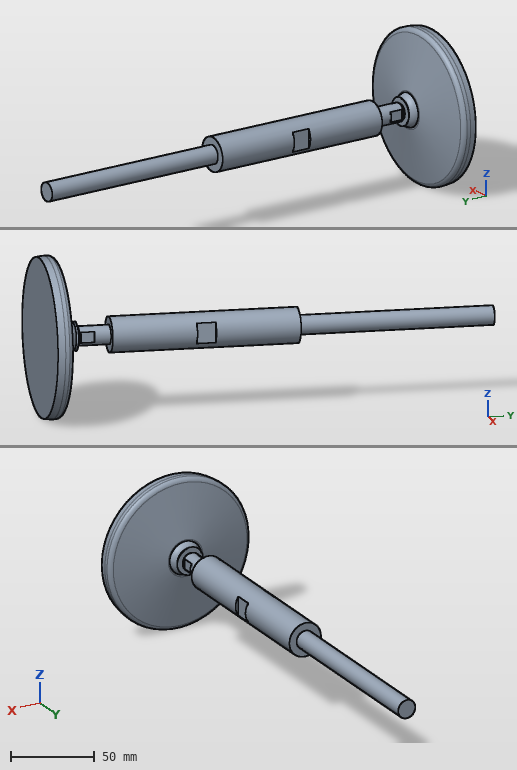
import cadquery as cq

TOTAL_LENGTH = 277.0

FOOT_DIAMETER = 98.0
UNDERSIDE_DIAMETER = 97.0
RIM_BOTTOM = 4.5
RIM_TOP = 7.0
SHOULDER_DIAMETER = 92.5
SHOULDER_HEIGHT = 9.7
LEDGE_DIAMETER = 23.8
NECK_BASE_DIAMETER = 21.5
NECK_BASE_HEIGHT = 16.0
NECK_TOP_DIAMETER = 15.5
NECK_TOP_HEIGHT = 20.5
NECK_BULGE_DIAMETER = 19.7
NECK_BULGE_HEIGHT = 18.5
LIP_DIAMETER = 18.0
LIP_HEIGHT = 21.5

SPINDLE_DIAMETER = 12.0
SPINDLE_TIP_DIAMETER = 10.0
SPINDLE_TAPER_TOP = 23.0
SPINDLE_FLAT_WIDTH = 10.0
SPINDLE_FLAT_BOTTOM = 23.8
SPINDLE_FLAT_TOP = 32.0

SLEEVE_DIAMETER = 22.0
SLEEVE_BOTTOM = 42.0
SLEEVE_TOP = 157.3
SLEEVE_FLAT_WIDTH = 18.0
SLEEVE_FLAT_BOTTOM = 94.0
SLEEVE_FLAT_TOP = 105.5


def rod(diameter, bottom, top):
    """Solid cylinder along Y between two heights."""
    return cq.Workplane("XZ", origin=(0, bottom, 0)).circle(diameter / 2).extrude(bottom - top)


def cut_wrench_flats(body, diameter, across_flats, bottom, top):
    """Cut two parallel flats facing -X and +X."""
    cut_depth = (diameter - across_flats) / 2
    for side in (-1, 1):
        cutter = cq.Workplane("XY").box(cut_depth, top - bottom, diameter).translate(
            (side * (across_flats + cut_depth) / 2, (bottom + top) / 2, 0)
        )
        body = body.cut(cutter)
    return body


def make_foot():
    """Turned disc with a conical top, a domed neck and a sharp lip."""
    return (
        cq.Workplane("XY")
        .moveTo(0, LIP_HEIGHT)
        .lineTo(LIP_DIAMETER / 2, LIP_HEIGHT)
        .lineTo(NECK_TOP_DIAMETER / 2, NECK_TOP_HEIGHT)
        .threePointArc(
            (NECK_BULGE_DIAMETER / 2, NECK_BULGE_HEIGHT),
            (NECK_BASE_DIAMETER / 2, NECK_BASE_HEIGHT),
        )
        .lineTo(LEDGE_DIAMETER / 2, NECK_BASE_HEIGHT)
        .lineTo(SHOULDER_DIAMETER / 2, SHOULDER_HEIGHT)
        .tangentArcPoint((FOOT_DIAMETER / 2, RIM_TOP), relative=False)
        .lineTo(FOOT_DIAMETER / 2, RIM_BOTTOM)
        .lineTo(UNDERSIDE_DIAMETER / 2, 0)
        .lineTo(0, 0)
        .close()
        .revolve(360, (0, 0, 0), (0, 1, 0))
    )


def make_spindle():
    """Long rod with a tapered tip resting on the foot and wrench flats above it."""
    spindle = (
        cq.Workplane("XY")
        .moveTo(0, LIP_HEIGHT)
        .lineTo(SPINDLE_TIP_DIAMETER / 2, LIP_HEIGHT)
        .lineTo(SPINDLE_DIAMETER / 2, SPINDLE_TAPER_TOP)
        .lineTo(SPINDLE_DIAMETER / 2, TOTAL_LENGTH)
        .lineTo(0, TOTAL_LENGTH)
        .close()
        .revolve(360, (0, 0, 0), (0, 1, 0))
    )
    return cut_wrench_flats(
        spindle, SPINDLE_DIAMETER, SPINDLE_FLAT_WIDTH, SPINDLE_FLAT_BOTTOM, SPINDLE_FLAT_TOP
    )


def make_sleeve():
    """Tube around the spindle with wrench flats near mid-length."""
    bore = rod(SPINDLE_DIAMETER, SLEEVE_BOTTOM, SLEEVE_TOP)
    tube = rod(SLEEVE_DIAMETER, SLEEVE_BOTTOM, SLEEVE_TOP).cut(bore)
    return cut_wrench_flats(
        tube, SLEEVE_DIAMETER, SLEEVE_FLAT_WIDTH, SLEEVE_FLAT_BOTTOM, SLEEVE_FLAT_TOP
    )


foot = make_foot()
spindle = make_spindle()
sleeve = make_sleeve()

result = cq.Compound.makeCompound([foot.val(), spindle.val(), sleeve.val()])